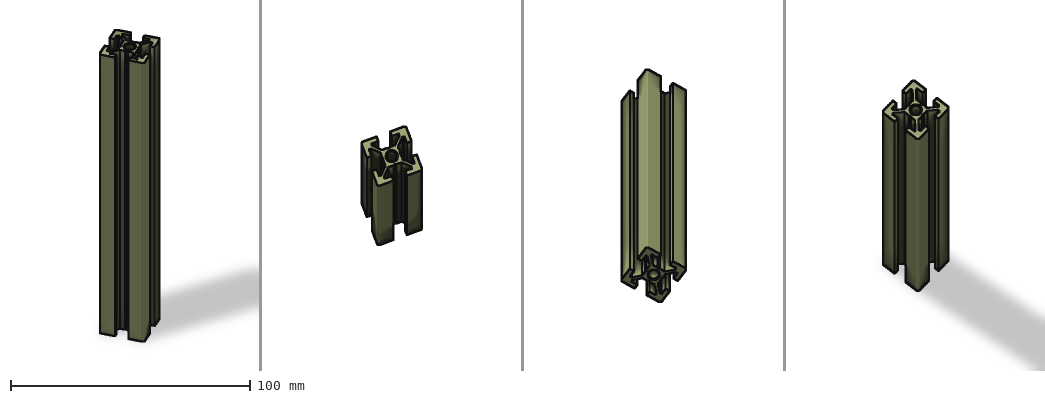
import cadquery as cq
import math

length = 140.0
width = 20.0
slot_opening = 6.0
lip_thickness = 2.1
cavity_width = 12.0
core_width = 7.8
web_thickness = 1.4
bore_diameter = 4.2
bore_chamfer = 0.4
corner_radius = 1.0
groove_width = 1.3
groove_depth = 0.3

half_width = width / 2
half_opening = slot_opening / 2
lip_inner = half_width - lip_thickness
half_cavity = cavity_width / 2
half_core = core_width / 2
half_groove = groove_width / 2
bore_radius = bore_diameter / 2

web_offset = web_thickness / math.sqrt(2)


def slot_cutter():
    """T-slot on the +X side, with a V-groove along the middle of its floor."""
    upper_half = [
        (half_core, half_groove),
        (half_core, half_core - web_offset),
        (half_cavity + web_offset, half_cavity),
        (lip_inner, half_cavity),
        (lip_inner, half_opening),
        (half_width, half_opening),
    ]
    lower_half = [(x, -y) for x, y in reversed(upper_half)]
    groove_bottom = (half_core - groove_depth, 0)
    outline = [groove_bottom] + upper_half + lower_half
    return cq.Workplane("XY").polyline(outline).close().extrude(length)


result = cq.Workplane("XY").rect(width, width).extrude(length)
result = result.edges("|Z").fillet(corner_radius)

slot = slot_cutter()
for side_angle in (0, 90, 180, 270):
    result = result.cut(slot.rotate((0, 0, 0), (0, 0, 1), side_angle))

bore = cq.Workplane("XY").circle(bore_radius).extrude(length)
mouth_radius = bore_radius + bore_chamfer
for end_z, inward in ((0, 1), (length, -1)):
    mouth = cq.Solid.makeCone(
        mouth_radius, bore_radius, bore_chamfer, pnt=cq.Vector(0, 0, end_z), dir=cq.Vector(0, 0, inward)
    )
    bore = bore.union(cq.Workplane(mouth))
result = result.cut(bore)